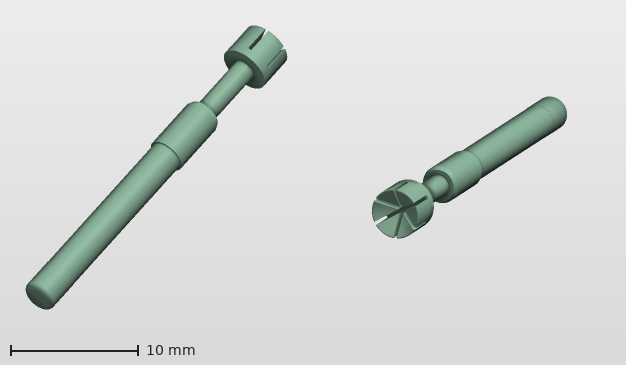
import cadquery as cq

total_length = 30.3
full_turn = 360

head_radius = 2.0
head_length = 3.0
cup_depth = 1.5
cup_radius = 1.9
rim_chamfer = 0.05
slot_count = 6
slot_width = 0.3
slot_depth = 2.3

shaft_radius = 0.9
shaft_length = 5.3

collar_radius = 1.5
collar_length = 5.0
collar_taper_length = 0.42
collar_front_radius = 1.325

barrel_radius = 1.33
tail_radius = 1.35
tail_length = 3.0
tail_fillet = 0.45

head_end_y = total_length / 2
head_base_y = head_end_y - head_length
collar_front_y = head_base_y - shaft_length
collar_taper_y = collar_front_y - collar_taper_length
collar_back_y = collar_front_y - collar_length
tail_end_y = -total_length / 2
tail_front_y = tail_end_y + tail_length


def probe_body():
    """Revolve the half outline, with the conical cup, about the Y axis."""
    return (
        cq.Workplane("XY")
        .moveTo(0, tail_end_y)
        .lineTo(tail_radius - tail_fillet, tail_end_y)
        .radiusArc((tail_radius, tail_end_y + tail_fillet), -tail_fillet)
        .lineTo(tail_radius, tail_front_y)
        .lineTo(barrel_radius, tail_front_y)
        .lineTo(barrel_radius, collar_back_y)
        .lineTo(collar_radius, collar_back_y)
        .lineTo(collar_radius, collar_taper_y)
        .lineTo(collar_front_radius, collar_front_y)
        .lineTo(shaft_radius, collar_front_y)
        .lineTo(shaft_radius, head_base_y)
        .lineTo(head_radius, head_base_y)
        .lineTo(head_radius, head_end_y - rim_chamfer)
        .lineTo(head_radius - rim_chamfer, head_end_y)
        .lineTo(cup_radius, head_end_y)
        .lineTo(0, head_end_y - cup_depth)
        .close()
        .revolve(full_turn, (0, 0, 0), (0, 1, 0))
    )


def cut_head_slots(body):
    """Cut the slots across the head; each cut makes two opposite slots."""
    slot_span = 3 * head_radius
    slot = cq.Workplane("XY").box(slot_width, slot_depth, slot_span)
    slot = slot.translate((0, head_end_y - slot_depth / 2, 0))
    for index in range(slot_count // 2):
        angle = index * full_turn / slot_count
        body = body.cut(slot.rotate((0, 0, 0), (0, 1, 0), angle))
    return body


result = cut_head_slots(probe_body())